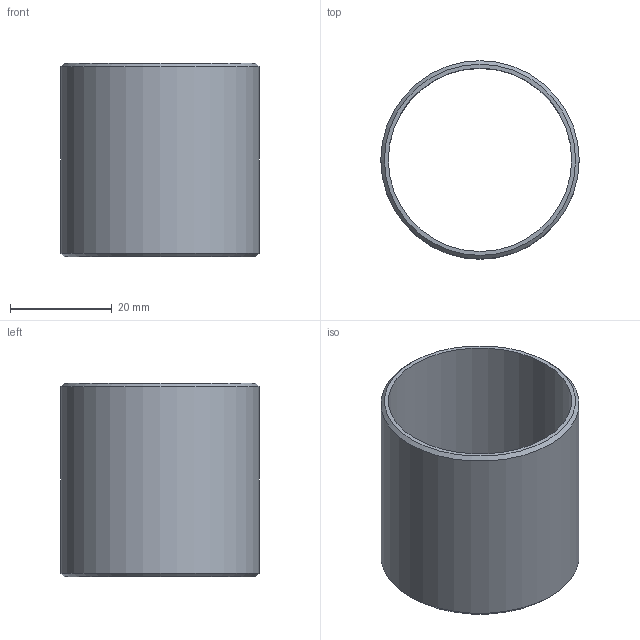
import cadquery as cq

outer_diameter = 38.95
inner_diameter = 36.0
length = 38.0
rim_chamfer = 0.7


def make_sleeve():
    """Straight tube centred on the Z axis."""
    return (
        cq.Workplane("XY")
        .circle(outer_diameter / 2)
        .circle(inner_diameter / 2)
        .extrude(length)
    )


def chamfer_outer_rims(sleeve):
    """Bevel the outer edge at each end; the bore edges stay sharp."""
    rim_selector = cq.selectors.RadiusNthSelector(-1)
    return sleeve.edges("%CIRCLE").edges(rim_selector).chamfer(rim_chamfer)


result = chamfer_outer_rims(make_sleeve())